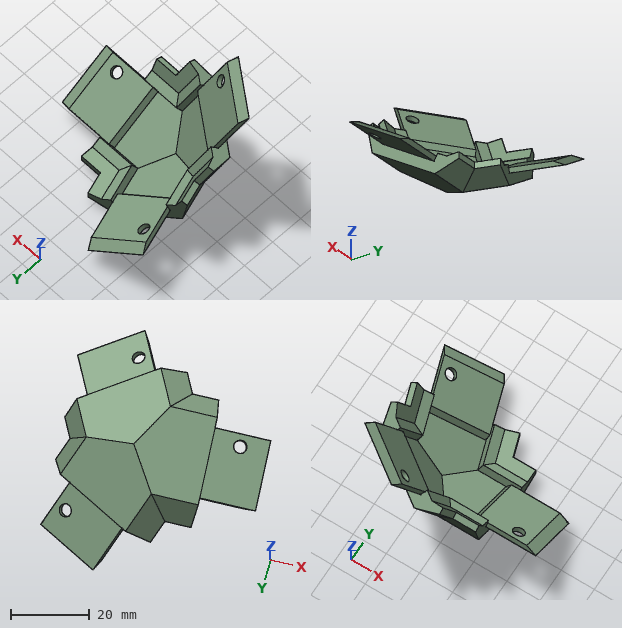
import cadquery as cq
import math

ARM_ANGLE = 108.0
ARM_COUNT = 3

ARM_LENGTH = 19.45
BASE_HALF_WIDTH = 11.5
FLOOR_THICKNESS = 3.0
CHANNEL_HALF_WIDTH = 9.3
LEDGE_HEIGHT = 5.3
LEDGE_HALF_WIDTH = 12.5
FLANGE_WIDTH = 3.9
FLANGE_EDGE = 1.9

TONGUE_START = 15.45
TONGUE_END = 34.4
TONGUE_WIDTH = 18.5
TONGUE_THICKNESS = 1.45
INNER_BEVEL = 1.25
TIP_BEVEL = 3.15
HOLE_DIAMETER = 3.4
HOLE_DISTANCE = 27.1
HOLE_OFFSET = 5.95
HOLE_SIDES = (-1, 1, 1)

spread = math.radians(ARM_ANGLE)
third_level = math.cos(spread) / math.cos(spread / 2)
first_arm = cq.Vector(1, 0, 0)
second_arm = cq.Vector(math.cos(spread), math.sin(spread), 0)
third_arm = cq.Vector(
    third_level * math.cos(spread / 2),
    third_level * math.sin(spread / 2),
    math.sqrt(1 - third_level**2),
)
corner_axis = (first_arm + second_arm + third_arm).normalized()
arm_rise = math.degrees(math.asin(first_arm.dot(corner_axis)))

dihedral = 2 * math.asin(math.cos(math.pi / ARM_COUNT) / math.sin((math.pi - spread) / 2))
flange_slope = math.pi / 2 - dihedral / 2


def channel():
    """Channel with outward-leaning walls and sloped flanges, long enough for the mitres."""
    flange_top = (
        LEDGE_HALF_WIDTH + FLANGE_WIDTH * math.cos(flange_slope),
        LEDGE_HEIGHT + FLANGE_WIDTH * math.sin(flange_slope),
    )
    flange_bottom = (
        flange_top[0] + FLANGE_EDGE * math.sin(flange_slope),
        flange_top[1] - FLANGE_EDGE * math.cos(flange_slope),
    )
    right_side = [
        (BASE_HALF_WIDTH, 0),
        flange_bottom,
        flange_top,
        (LEDGE_HALF_WIDTH, LEDGE_HEIGHT),
        (CHANNEL_HALF_WIDTH, LEDGE_HEIGHT),
        (CHANNEL_HALF_WIDTH, FLOOR_THICKNESS),
    ]
    left_side = [(-y, z) for y, z in reversed(right_side)]
    return (
        cq.Workplane("YZ", origin=(-ARM_LENGTH, 0, 0))
        .polyline(right_side + left_side)
        .close()
        .extrude(2 * ARM_LENGTH)
    )


def mitre_wedge():
    """Sector around the corner axis that belongs to one arm."""
    reach = 2 * TONGUE_END
    half_width = reach * math.tan(math.pi / ARM_COUNT)
    return (
        cq.Workplane("XY")
        .polyline([(0, 0), (reach, -half_width), (reach, half_width)])
        .close()
        .extrude(reach, both=True)
    )


def tongue(hole_side):
    """Flat tongue, bevelled at its root and sharpened at its tip, with one pin hole."""
    top = FLOOR_THICKNESS + TONGUE_THICKNESS
    plate = (
        cq.Workplane("XZ")
        .moveTo(TONGUE_START, FLOOR_THICKNESS)
        .lineTo(TONGUE_START + INNER_BEVEL, top)
        .lineTo(TONGUE_END - TIP_BEVEL, top)
        .lineTo(TONGUE_END, FLOOR_THICKNESS)
        .close()
        .extrude(TONGUE_WIDTH / 2, both=True)
    )
    hole = (
        cq.Workplane("XY")
        .center(HOLE_DISTANCE, hole_side * HOLE_OFFSET)
        .circle(HOLE_DIAMETER / 2)
        .extrude(top)
    )
    return plate.cut(hole)


def raise_arm(shape):
    """Tilt an arm upward from the plane square to the corner axis."""
    return shape.rotate((0, 0, 0), (0, 1, 0), -arm_rise)


mitred_channel = raise_arm(channel()).intersect(mitre_wedge())
upright = cq.Workplane("XY")
for index, hole_side in enumerate(HOLE_SIDES):
    arm = mitred_channel.union(raise_arm(tongue(hole_side)))
    upright = upright.union(arm.rotate((0, 0, 0), (0, 0, 1), index * 360 / ARM_COUNT))

first_arm_heading = first_arm - corner_axis * first_arm.dot(corner_axis)
corner_plane = cq.Plane(origin=(0, 0, 0), xDir=first_arm_heading, normal=corner_axis)
result = cq.Workplane("XY").newObject([upright.val().moved(corner_plane.location)])